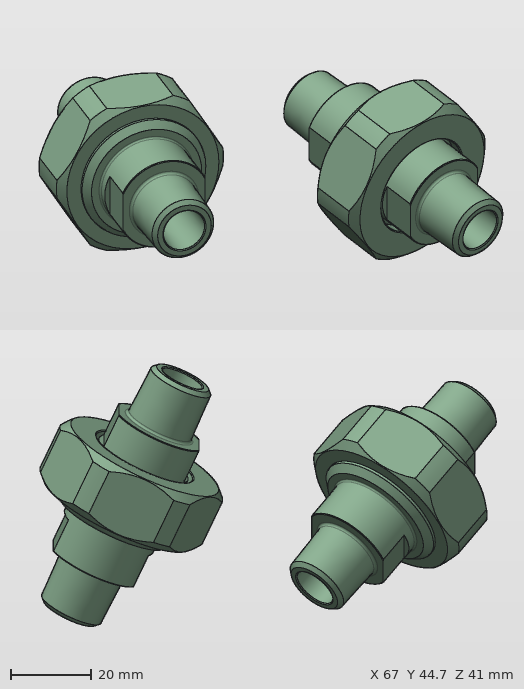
import cadquery as cq
import math


length = 67.0
bore_mouth_radius = 11.0 / 2
bore_joint_radius = 10.0 / 2
bore_chamfer = 0.3

spigot_tip_radius = 8.25
spigot_root_radius = 8.65
spigot_chamfer = 1.1
spigot_fillet = 0.7
collar_start = 14.0
collar_radius = 24.5 / 2
collar_chamfer = 0.2
flat_half_width = 11.0
flat_length = 9.0
flat_end_slant = 0.3

nut_start = 22.45
nut_end = 38.45
nut_half_flats = 20.5
nut_corner_radius = 44.7 / 2
nut_chamfer = 2.0
nut_hole_radius = 26.5 / 2
nut_hole_chamfer = 0.3

shoulder_start = 26.0
joint_face = 29.5
tail_flange_radius = 30.3 / 2
tail_fillet = 0.75

disc_end = 41.0
disc_radius = 33.1 / 2
disc_end_radius = 29.5 / 2
disc_chamfer = disc_radius - disc_end_radius
disc_fillet = 0.5


def revolve_about_x(profile):
    return profile.close().revolve(360, (0, 0, 0), (1, 0, 0))


def cylinder_x(radius, start, end):
    return cq.Workplane("YZ", origin=(start, 0, 0)).circle(radius).extrude(end - start)


def concave_fillet(profile, x, radius, size):
    """Arc from a cylinder of the given radius, rising to a face at x."""
    bend = size * math.sqrt(0.5)
    middle = (x - size + bend, radius + size - bend)
    return profile.threePointArc(middle, (x, radius + size))


def start_half(shoulder, fillet):
    """Open outline of a spigot and collar, from the pipe end at x = 0 to the shoulder."""
    profile = (
        cq.Workplane("XY")
        .moveTo(0, bore_mouth_radius + bore_chamfer)
        .lineTo(0, spigot_tip_radius - spigot_chamfer)
        .lineTo(spigot_chamfer, spigot_tip_radius)
        .lineTo(collar_start - spigot_fillet, spigot_root_radius)
    )
    profile = concave_fillet(profile, collar_start, spigot_root_radius, spigot_fillet)
    profile = (
        profile.lineTo(collar_start, collar_radius - collar_chamfer)
        .lineTo(collar_start + collar_chamfer, collar_radius)
        .lineTo(shoulder - fillet, collar_radius)
    )
    return concave_fillet(profile, shoulder, collar_radius, fillet)


def finish_half(profile, inner_end):
    """Close the outline along the bore and revolve it."""
    profile = profile.lineTo(inner_end, bore_joint_radius).lineTo(bore_chamfer, bore_mouth_radius)
    return revolve_about_x(profile)


def cut_wrench_flats(half):
    """Cut two opposite flats on the collar, each ending in a slightly slanted wall."""
    flat_end = collar_start + flat_length
    rise = collar_radius - flat_half_width
    cutter = (
        cq.Workplane("XY")
        .moveTo(collar_start, flat_half_width)
        .lineTo(flat_end, flat_half_width)
        .lineTo(flat_end + flat_end_slant, flat_half_width + rise)
        .lineTo(collar_start, flat_half_width + rise)
        .close()
        .extrude(collar_radius, both=True)
    )
    return half.cut(cutter).cut(cutter.mirror("XZ"))


def make_tail():
    profile = start_half(shoulder_start, tail_fillet)
    profile = profile.lineTo(shoulder_start, tail_flange_radius).lineTo(joint_face, tail_flange_radius)
    return cut_wrench_flats(finish_half(profile, joint_face))


def make_body():
    """Built with its pipe end at x = 0, then turned to face the other way."""
    shoulder = length - disc_end
    inner_end = length - joint_face
    profile = start_half(shoulder, disc_fillet)
    profile = (
        profile.lineTo(shoulder, disc_end_radius)
        .lineTo(shoulder + disc_chamfer, disc_radius)
        .lineTo(inner_end, disc_radius)
    )
    half = cut_wrench_flats(finish_half(profile, inner_end))
    return half.mirror("YZ").translate((length, 0, 0))


def make_nut():
    hexagon = (
        cq.Workplane("YZ", origin=(nut_start, 0, 0))
        .polygon(6, 2 * nut_half_flats / math.cos(math.pi / 6))
        .extrude(nut_end - nut_start)
    )
    envelope = cylinder_x(nut_corner_radius, nut_start, nut_end).edges().chamfer(nut_chamfer)
    hole = revolve_about_x(
        cq.Workplane("XY")
        .moveTo(nut_start, 0)
        .lineTo(nut_start, nut_hole_radius + nut_hole_chamfer)
        .lineTo(nut_start + nut_hole_chamfer, nut_hole_radius)
        .lineTo(shoulder_start, nut_hole_radius)
        .lineTo(shoulder_start, tail_flange_radius)
        .lineTo(joint_face, tail_flange_radius)
        .lineTo(joint_face, disc_radius)
        .lineTo(nut_end, disc_radius)
        .lineTo(nut_end, 0)
    )
    return hexagon.intersect(envelope).cut(hole)


tail = make_tail()
body = make_body()
nut = make_nut()

result = cq.Compound.makeCompound([tail.val(), body.val(), nut.val()])